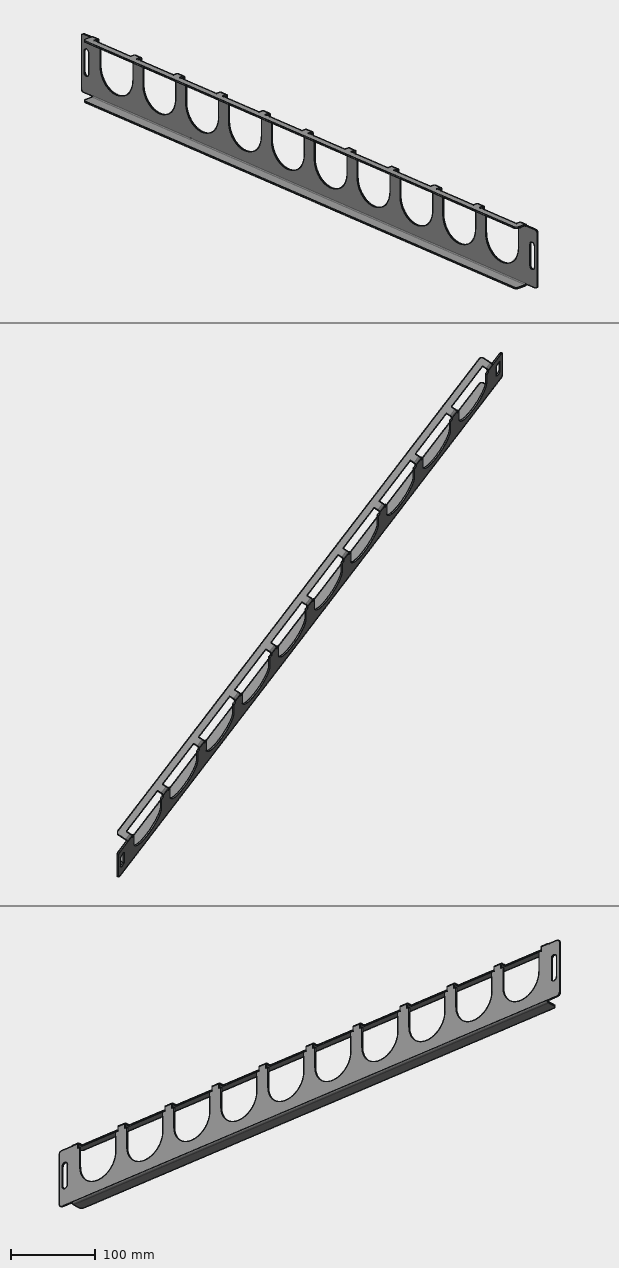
import cadquery as cq

length = 785.0
depth = 17.0
height = 80.0

sheet = 2.0
bend_radius = 3.0
flange_inset = 20.0
flange_corner_radius = 4.0
plate_corner_radius = 4.0
plate_inset = 2.0

cradle_count = 10
cradle_pitch = 74.0
cradle_width = 56.5
cradle_floor = 17.0
window_width = 63.5
window_depth = 8.0
rail_width = 9.0

slot_width = 8.0
slot_length = 35.0
slot_inset = 9.0
slot_center_height = 42.0

flange_length = length - 2 * flange_inset
plate_height = height - 2 * plate_inset
mid_height = height / 2
back = depth / 2


def cradle_positions():
    """X of every cradle centre, symmetric about the middle of the part."""
    first = -(cradle_count - 1) * cradle_pitch / 2
    return [first + i * cradle_pitch for i in range(cradle_count)]


def make_channel():
    """C-shaped folded sheet with both flanges pointing forward."""
    outer = (
        cq.Workplane("XY")
        .box(flange_length, depth, height)
        .edges("|X and >Y")
        .fillet(bend_radius)
    )
    inner = (
        cq.Workplane("XY")
        .box(flange_length, depth, height - 2 * sheet)
        .edges("|X and >Y")
        .fillet(bend_radius - sheet)
        .translate((0, -sheet, 0))
    )
    channel = outer.cut(inner).translate((0, 0, mid_height))
    return channel.edges("|Z and <Y").fillet(flange_corner_radius)


def make_plate():
    """Flat back plate that reaches past the flanges at both ends."""
    return (
        cq.Workplane("XY")
        .box(length, sheet, plate_height)
        .edges("|Y")
        .fillet(plate_corner_radius)
        .translate((0, back - sheet / 2, mid_height))
    )


def make_cradle_cutter(x):
    """U-shaped opening in the plate that widens through the upper bend."""
    radius = cradle_width / 2
    arc_height = cradle_floor + radius
    half_window = window_width / 2
    shoulder = height - window_depth
    cut_depth = depth - rail_width
    return (
        cq.Workplane("XZ", origin=(x, back, 0))
        .moveTo(-half_window, height)
        .lineTo(-half_window, shoulder)
        .lineTo(-radius, shoulder)
        .lineTo(-radius, arc_height)
        .threePointArc((0, cradle_floor), (radius, arc_height))
        .lineTo(radius, shoulder)
        .lineTo(half_window, shoulder)
        .lineTo(half_window, height)
        .close()
        .extrude(cut_depth)
    )


def make_slot_cutter(x):
    """Upright round-ended slot through the plate."""
    return (
        cq.Workplane("XZ", origin=(x, back, slot_center_height))
        .slot2D(slot_length, slot_width, 90)
        .extrude(sheet)
    )


result = make_channel().union(make_plate())
for cradle_x in cradle_positions():
    result = result.cut(make_cradle_cutter(cradle_x))
for side in (-1, 1):
    result = result.cut(make_slot_cutter(side * (length / 2 - slot_inset)))